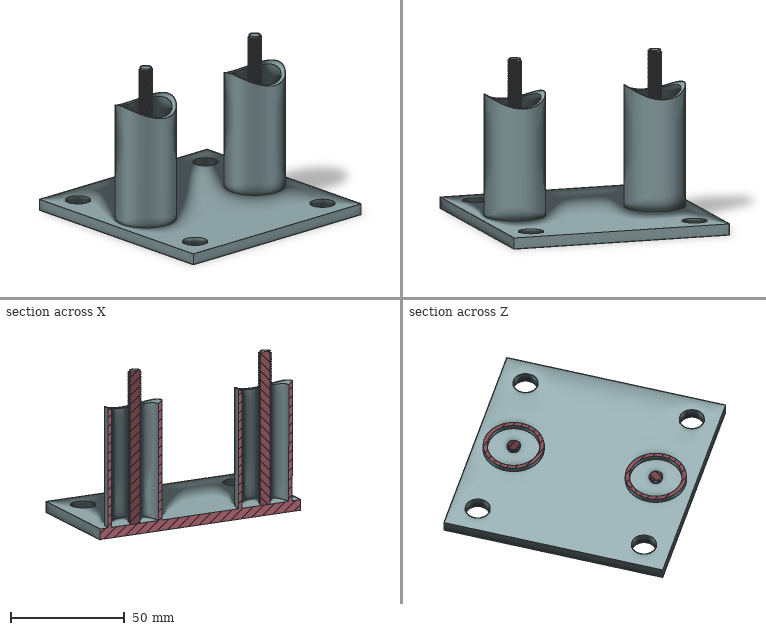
import cadquery as cq
import math

plate_side = 100.0
plate_thickness = 5.0
mounting_hole_diameter = 11.0
mounting_hole_spacing = 76.0

post_outer_diameter = 27.0
post_inner_diameter = 23.0
post_spacing = 65.0
rail_radius = 21.2
saddle_low_height = 54.9
post_tip_rise = rail_radius - math.sqrt(rail_radius**2 - (post_outer_diameter / 2) ** 2)
post_tip_height = saddle_low_height + post_tip_rise
post_positions = [(0, -post_spacing / 2), (0, post_spacing / 2)]

overall_height = 75.0
stud_length = overall_height - plate_thickness
thread_diameter = 6.0
thread_pitch = 1.0
thread_start = thread_pitch
thread_end_gap = thread_pitch / 2
thread_length = stud_length - thread_start - thread_end_gap
thread_depth = 0.5
thread_root_width = 0.8 * thread_pitch
thread_crest_width = 0.2 * thread_pitch
thread_embed = 0.1
core_radius = thread_diameter / 2 - thread_depth


def make_plate():
    """Square plate with a mounting hole near each corner."""
    return (
        cq.Workplane("XY")
        .box(plate_side, plate_side, plate_thickness, centered=(True, True, False))
        .faces(">Z")
        .workplane()
        .rect(mounting_hole_spacing, mounting_hole_spacing, forConstruction=True)
        .vertices()
        .hole(mounting_hole_diameter)
    )


def make_posts():
    """Two tubes whose tops are cut by the rail cylinder."""
    tubes = (
        cq.Workplane("XY", origin=(0, 0, plate_thickness))
        .pushPoints(post_positions)
        .circle(post_outer_diameter / 2)
        .circle(post_inner_diameter / 2)
        .extrude(post_tip_height - plate_thickness)
    )
    rails = (
        cq.Workplane("YZ")
        .pushPoints([(y, saddle_low_height + rail_radius) for _, y in post_positions])
        .circle(rail_radius)
        .extrude(post_outer_diameter, both=True)
    )
    return tubes.cut(rails)


def make_stud():
    """Cylindrical core with a right-hand helical ridge that stops short of both ends."""
    core = cq.Workplane("XY").circle(core_radius).extrude(stud_length)
    ridge_base = core_radius - thread_embed
    helix = cq.Wire.makeHelix(thread_pitch, thread_length, core_radius)
    ridge = (
        cq.Workplane("XZ")
        .moveTo(ridge_base, -thread_root_width / 2)
        .lineTo(thread_diameter / 2, -thread_crest_width / 2)
        .lineTo(thread_diameter / 2, thread_crest_width / 2)
        .lineTo(ridge_base, thread_root_width / 2)
        .close()
        .sweep(cq.Workplane(helix), isFrenet=True)
        .translate((0, 0, thread_start))
    )
    return core.union(ridge, clean=False)


frame = make_plate().union(make_posts())
stud = make_stud()
studs = [stud.translate((x, y, plate_thickness)) for x, y in post_positions]

result = cq.Compound.makeCompound([frame.val(), *[placed.solids().val() for placed in studs]])